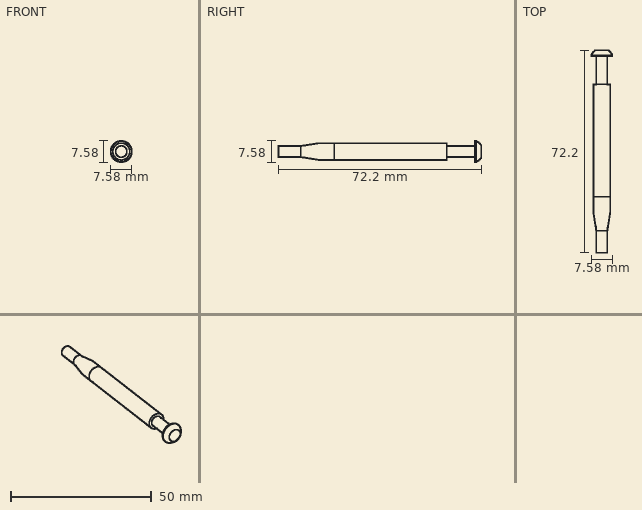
import cadquery as cq
import math

total_length = 72.2
head_end_y = total_length / 2
shank_end_y = -total_length / 2

pin_radius = 2.0
head_radius = 3.79
head_top_radius = 2.3
head_height = 2.25
rim_thickness = 0.4
dome_bulge = 0.15

sleeve_radius = 3.0
exposed_neck = 9.95
sleeve_length = 40.1
nose_straight_length = 5.5
nose_taper_length = 6.5

head_underside_y = head_end_y - head_height
rim_top_y = head_underside_y + rim_thickness
sleeve_rear_y = head_underside_y - exposed_neck
nose_rear_y = sleeve_rear_y - sleeve_length
taper_start_y = nose_rear_y - nose_straight_length
taper_end_y = taper_start_y - nose_taper_length


def revolve_about_y(profile):
    """Turn a closed half profile, drawn as (radius, y), around the Y axis."""
    return profile.close().revolve(360, (0, 0, 0), (0, 1, 0))


def make_pin():
    """Plain round shank with a thin-rimmed, domed, flat-topped head."""
    chord_radial = head_radius - head_top_radius
    chord_axial = head_end_y - rim_top_y
    chord_length = math.hypot(chord_radial, chord_axial)
    dome_mid = (
        (head_radius + head_top_radius) / 2 + dome_bulge * chord_axial / chord_length,
        (rim_top_y + head_end_y) / 2 + dome_bulge * chord_radial / chord_length,
    )
    return revolve_about_y(
        cq.Workplane("XY")
        .moveTo(0, shank_end_y)
        .lineTo(pin_radius, shank_end_y)
        .lineTo(pin_radius, head_underside_y)
        .lineTo(head_radius, head_underside_y)
        .lineTo(head_radius, rim_top_y)
        .threePointArc(dome_mid, (head_top_radius, head_end_y))
        .lineTo(0, head_end_y)
    )


def make_sleeve():
    """Straight tube fitting closely around the pin."""
    return revolve_about_y(
        cq.Workplane("XY")
        .moveTo(pin_radius, nose_rear_y)
        .lineTo(sleeve_radius, nose_rear_y)
        .lineTo(sleeve_radius, sleeve_rear_y)
        .lineTo(pin_radius, sleeve_rear_y)
    )


def make_nose():
    """Tube that continues the sleeve, then tapers down to the pin surface."""
    return revolve_about_y(
        cq.Workplane("XY")
        .moveTo(pin_radius, taper_end_y)
        .lineTo(sleeve_radius, taper_start_y)
        .lineTo(sleeve_radius, nose_rear_y)
        .lineTo(pin_radius, nose_rear_y)
    )


pin = make_pin()
sleeve = make_sleeve()
nose = make_nose()

result = cq.Compound.makeCompound([pin.val(), sleeve.val(), nose.val()])